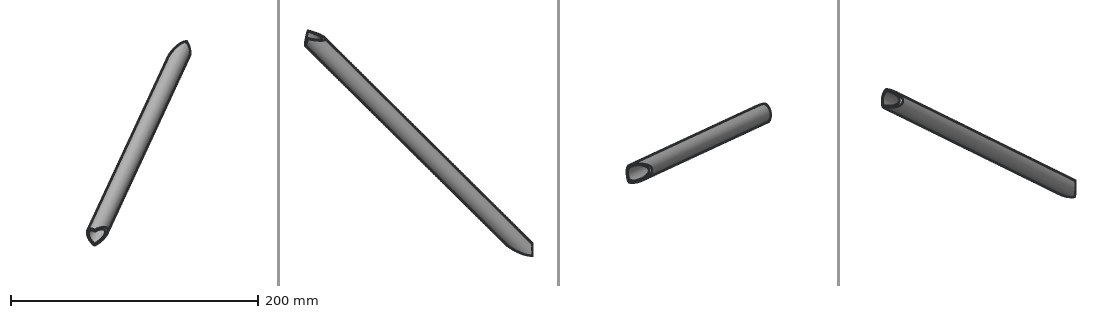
import cadquery as cq
import math

width = 140.0
length = 226.5
outer_radius = 7.82
wall = 1.5

upper_axis_drop = 5.2
axis_rise = length - upper_axis_drop
tube_length = math.hypot(width, axis_rise)
end_allowance = 34.0

cope_radius = 13.1
side_cope_depth = 2.5
top_cope_depth = 2.13


def tube_rod(radius):
    """Overlong round bar along the sloping tube axis."""
    direction = cq.Vector(-width, axis_rise, 0).normalized()
    start = cq.Vector(width, 0, 0) - direction * end_allowance
    return cq.Workplane(cq.Solid.makeCylinder(radius, tube_length + 2 * end_allowance, start, direction))


def square_corner():
    """Bounds of the part: squares off the lower end against two faces meeting on the tube axis."""
    height = 4 * outer_radius
    return cq.Workplane("XY").box(width, length, height, centered=(False, False, True))


def side_cope():
    """Cutter along Y that hollows the -X side of the upper end."""
    base = cq.Vector(side_cope_depth - cope_radius, 0, 0)
    return cq.Workplane(cq.Solid.makeCylinder(cope_radius, 2 * length, base, cq.Vector(0, 1, 0)))


def top_cope():
    """Cutter along X that hollows the +Y side of the upper end."""
    base = cq.Vector(-width, length - top_cope_depth + cope_radius, 0)
    return cq.Workplane(cq.Solid.makeCylinder(cope_radius, 2 * width, base, cq.Vector(1, 0, 0)))


tube = tube_rod(outer_radius).cut(tube_rod(outer_radius - wall))
result = tube.intersect(square_corner()).cut(side_cope()).cut(top_cope())